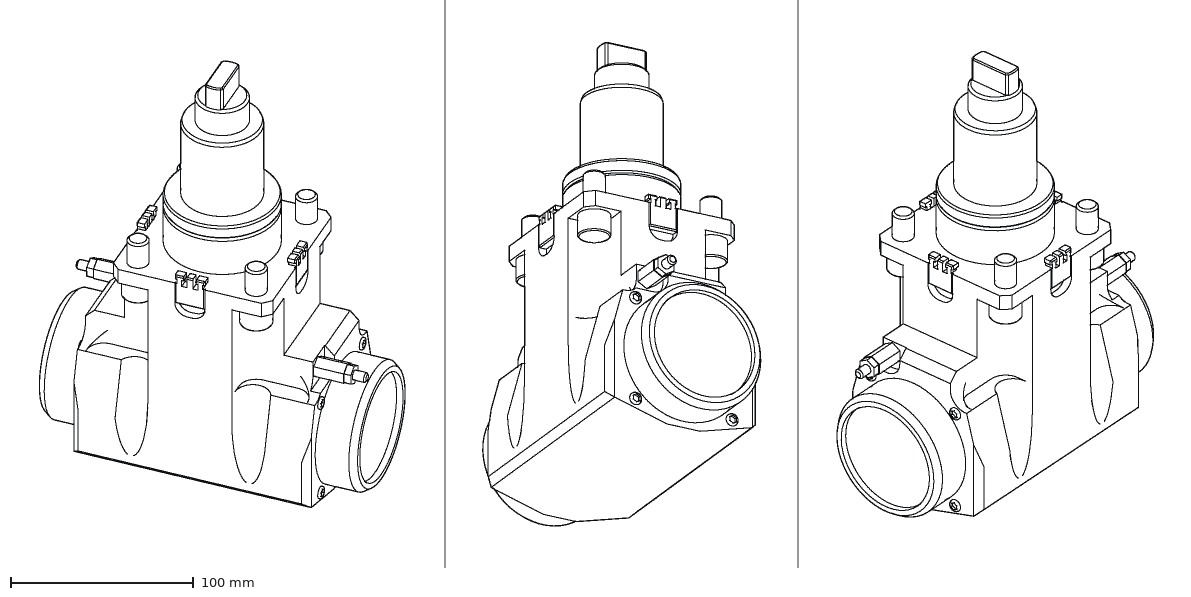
import cadquery as cq
import math

total_height = 253.0
overall_length = 188.0
body_length = 140.2
body_width = 94.0
half_length = body_length / 2
half_width = body_width / 2

port_axis_z = 41.0
keel_half_width = 10.4
keel_bevel = 4.0
bevel_bottom_z = 9.0
end_corner_chamfer = 4.0
shelf_z = 74.5
shelf_edge_y = 38.0
neck_half_width = 26.3
neck_fillet = 10.5
shoulder_z = 94.4
shoulder_chamfer = 5.3
flank_angle = math.degrees(math.atan2(half_width - shelf_edge_y, shelf_z - port_axis_z))

flange_top_z = 141.7
flange_bottom_z = 132.5
flange_corner = 4.8
rib_half_length = 24.8
pocket_fillet = 10.0
pocket_outer_x = 65.3
bolt_x = rib_half_length + pocket_fillet
bolt_y = neck_half_width + pocket_fillet
scallop_axis_y = 42.3

bolt_radius = 6.0
bolt_top_z = 157.5
bolt_head_radius = 9.0
bolt_head_z = 120.0
bolt_edge = 1.3
bolt_head_edge = 0.8

collar_radius = 32.5
collar_top_z = 173.8
collar_edge = 1.5
groove_top_z = 166.5
groove_mid_z = 165.5
groove_bottom_z = 164.0
groove_depth = 1.0
shaft_radius = 22.8
shaft_top_z = 222.6
shaft_edge_height = 2.3
shaft_edge_width = 0.8
tip_radius = 15.0
tip_top_z = 239.0
tip_edge = 1.5
blade_thickness = 10.5
blade_radius = 13.7
blade_corner = 1.0
blade_top_edge = 0.8

port_diameter = 74.6
port_radius = port_diameter / 2
port_end_x = overall_length / 2
port_edge_length = 4.0
port_edge_height = 2.8
port_recess_radius = 31.4
port_recess_depth = 3.8

screw_offset = 30.0
screw_radius = 3.5
screw_height = 1.5
screw_edge = 1.0
socket_size = 4.0

sensor_y = 19.7
sensor_z = 87.3
sensor_seat_x = 64.3
sensor_across_flats = 11.0
sensor_hex_end_x = 82.0
sensor_collar_end_x = 86.0
sensor_collar_across_flats = 10.0
sensor_pin_radius = 2.8
sensor_pin_end_x = 93.5
sensor_pin_edge = 1.0
recess_margin = 10.0
recess_corner = 9.5

clip_width = 17.7
clip_depth = 4.8
clip_bottom_z = 128.0
clip_top_z = 146.7
clip_edge = 0.8
clip_slot_bottom_z = 120.7
clip_slot_corner = 7.5
clip_gap_offset = 2.8
clip_gap_width = 2.0
clip_gap_bottom_z = 140.5
clip_nick_z = 141.7
clip_nick_height = 2.5
clip_nick_depth = 1.3
clip_undercut = 1.0

overlap = 2.5


def upright_block(x0, x1, y0, y1, z0, z1):
    return cq.Workplane("XY").box(x1 - x0, y1 - y0, z1 - z0, centered=False).translate((x0, y0, z0))


def in_four_corners(solid):
    """A solid at +X +Y together with its mirror images in the other three corners."""
    pair = solid.union(solid.mirror("YZ"))
    return pair.union(pair.mirror("XZ"))


def at_both_ends(solid):
    """A solid at the -X end together with its copy half a turn about Z away."""
    return solid.union(solid.rotate((0, 0, 0), (0, 0, 1), 180))


def lower_body():
    arc_mid = neck_fillet * (1 - math.sqrt(0.5))
    half_body = (
        cq.Workplane("YZ", origin=(-half_length, 0, 0))
        .moveTo(0, 0)
        .lineTo(keel_half_width, 0)
        .lineTo(half_width - keel_bevel, bevel_bottom_z)
        .lineTo(half_width, bevel_bottom_z + keel_bevel)
        .lineTo(half_width, port_axis_z)
        .lineTo(shelf_edge_y, shelf_z)
        .lineTo(neck_half_width + neck_fillet, shelf_z)
        .threePointArc(
            (neck_half_width + arc_mid, shelf_z + arc_mid),
            (neck_half_width, shelf_z + neck_fillet),
        )
        .lineTo(neck_half_width, shoulder_z)
        .lineTo(0, shoulder_z)
        .close()
        .extrude(body_length)
    )
    body = half_body.union(half_body.mirror("XZ"))
    body = body.faces(">Z").edges("|Y").chamfer(shoulder_chamfer)
    end_corners = (
        cq.Workplane("XY").rect(body_length, body_width).extrude(shoulder_z)
        .edges("|Z").chamfer(end_corner_chamfer)
    )
    return body.intersect(end_corners)


def column():
    square = (
        cq.Workplane("XY", origin=(0, 0, shelf_z)).rect(body_width, body_width)
        .extrude(flange_top_z - shelf_z)
        .edges("|Z").chamfer(flange_corner)
    )
    web = upright_block(-bolt_x, bolt_x, -half_width, half_width, port_axis_z - overlap, shelf_z)
    return square.union(web)


def corner_pocket():
    """Upright clearance for a flange bolt, rounded against the neck, open to +Y."""
    return (
        upright_block(rib_half_length, pocket_outer_x, neck_half_width, body_width, shelf_z, flange_bottom_z)
        .edges("|Z and <Y").fillet(pocket_fillet)
    )


def scallop():
    """Round-bottomed groove that runs down and out from a pocket, parallel to the slanted flank."""
    reach = body_width
    groove = (
        cq.Workplane("XY")
        .circle(pocket_fillet)
        .extrude(2 * reach, both=True)
        .union(upright_block(-pocket_fillet, pocket_fillet, 0, reach, -2 * reach, 2 * reach))
        .rotate((0, 0, 0), (1, 0, 0), flank_angle)
        .translate((bolt_x, scallop_axis_y, shelf_z))
    )
    return groove.intersect(upright_block(0, half_length, 0, 2 * reach, 0, shelf_z))


def stem():
    profile = [
        (0, shoulder_z),
        (collar_radius, shoulder_z),
        (collar_radius, groove_bottom_z),
        (collar_radius - groove_depth, groove_mid_z),
        (collar_radius, groove_top_z),
        (collar_radius, collar_top_z - collar_edge),
        (collar_radius - collar_edge / 2, collar_top_z),
        (shaft_radius, collar_top_z),
        (shaft_radius, shaft_top_z - shaft_edge_height),
        (shaft_radius - shaft_edge_width, shaft_top_z),
        (tip_radius, shaft_top_z),
        (tip_radius, tip_top_z - tip_edge),
        (tip_radius - tip_edge, tip_top_z),
        (0, tip_top_z),
    ]
    turned = cq.Workplane("XZ").polyline(profile).close().revolve(360, (0, 0, 0), (0, 1, 0))
    blade_base_z = tip_top_z - overlap
    blade_height = total_height - blade_base_z
    blade = (
        cq.Workplane("XY", origin=(0, 0, blade_base_z)).circle(blade_radius).extrude(blade_height)
        .intersect(
            cq.Workplane("XY", origin=(0, 0, blade_base_z))
            .rect(blade_thickness, 2 * blade_radius).extrude(blade_height)
        )
        .edges("|Z").chamfer(blade_corner)
        .faces(">Z").chamfer(blade_top_edge)
    )
    return turned.union(blade)


def flange_bolt():
    head = (
        cq.Workplane("XY", origin=(bolt_x, bolt_y, bolt_head_z)).circle(bolt_head_radius)
        .extrude(flange_bottom_z - bolt_head_z + overlap)
        .faces("<Z").chamfer(bolt_head_edge)
    )
    shank = (
        cq.Workplane("XY", origin=(bolt_x, bolt_y, flange_bottom_z)).circle(bolt_radius)
        .extrude(bolt_top_z - flange_bottom_z)
        .faces(">Z").chamfer(bolt_edge)
    )
    return head.union(shank)


def port():
    profile = [
        (-half_length + overlap, 0),
        (-half_length + overlap, port_radius),
        (-port_end_x + port_edge_length, port_radius),
        (-port_end_x, port_radius - port_edge_height),
        (-port_end_x, port_recess_radius),
        (-port_end_x + port_recess_depth, port_recess_radius),
        (-port_end_x + port_recess_depth, 0),
    ]
    turned = cq.Workplane("XZ").polyline(profile).close().revolve(360, (0, 0, 0), (1, 0, 0))
    return turned.translate((0, 0, port_axis_z))


def port_screw(y, z):
    head = (
        cq.Workplane("YZ", origin=(-half_length, y, z)).circle(screw_radius).extrude(-screw_height)
        .faces("<X").edges().fillet(screw_edge)
    )
    socket = (
        cq.Workplane("YZ", origin=(-half_length, y, z))
        .polygon(6, socket_size, circumscribed=True).extrude(-screw_height)
    )
    return head.cut(socket)


def port_screws():
    offsets = (-screw_offset, screw_offset)
    screws = cq.Workplane("XY")
    for y in offsets:
        for dz in offsets:
            screws = screws.union(port_screw(y, port_axis_z + dz))
    return screws


def sensor_recess():
    """Seat cut into the shoulder, with one rounded corner, open upward and toward +Y."""
    return (
        upright_block(
            -body_length, -sensor_seat_x,
            sensor_y - recess_margin, half_width,
            sensor_z - recess_margin, shoulder_z + overlap,
        )
        .edges("|X and <Y and <Z").fillet(recess_corner)
    )


def sensor():
    def rod_plane(x):
        return cq.Workplane("YZ", origin=(x, sensor_y, sensor_z))

    def hexagon(x, length, across_flats):
        return rod_plane(x).polygon(6, across_flats, circumscribed=True).extrude(-length)

    root_x = -sensor_seat_x + overlap
    collar_length = sensor_collar_end_x - sensor_hex_end_x
    shank = hexagon(root_x, sensor_hex_end_x + root_x, sensor_across_flats)
    collar = hexagon(-sensor_hex_end_x, collar_length, sensor_collar_across_flats)
    pin = (
        rod_plane(-sensor_hex_end_x).circle(sensor_pin_radius)
        .extrude(sensor_hex_end_x - sensor_pin_end_x)
        .faces("<X").chamfer(sensor_pin_edge)
    )
    return shank.union(collar).union(pin)


def clip_slot():
    return (
        upright_block(
            -clip_width / 2, clip_width / 2, -half_width, clip_depth - half_width,
            clip_slot_bottom_z, flange_top_z,
        )
        .edges("|Y and <Z").fillet(clip_slot_corner)
    )


def clip():
    half_clip = clip_width / 2
    inner_y = clip_depth - half_width
    plate = (
        upright_block(-half_clip, half_clip, -half_width, inner_y, clip_bottom_z, clip_top_z)
        .faces("<Y").chamfer(clip_edge)
    )
    for side in (-1, 1):
        gap_x = side * clip_gap_offset
        gap = upright_block(
            gap_x - clip_gap_width / 2, gap_x + clip_gap_width / 2,
            -half_width, inner_y, clip_gap_bottom_z, clip_top_z,
        )
        undercut_x = gap_x + side * clip_undercut
        undercut = upright_block(
            undercut_x - clip_gap_width / 2, undercut_x + clip_gap_width / 2,
            -half_width, inner_y, clip_gap_bottom_z, clip_nick_z + clip_nick_height,
        )
        nick_x = side * half_clip
        nick = upright_block(
            nick_x - clip_nick_depth, nick_x + clip_nick_depth,
            -half_width, inner_y, clip_nick_z, clip_nick_z + clip_nick_height,
        )
        plate = plate.cut(gap).cut(undercut).cut(nick)
    return plate


result = lower_body().union(column())
result = result.cut(in_four_corners(corner_pocket())).cut(in_four_corners(scallop()))
result = result.cut(at_both_ends(sensor_recess()))
result = result.union(stem()).union(in_four_corners(flange_bolt()))
for end_feature in (port(), port_screws(), sensor()):
    result = result.union(at_both_ends(end_feature))
for quarter_turn in range(4):
    angle = 90 * quarter_turn
    result = result.cut(clip_slot().rotate((0, 0, 0), (0, 0, 1), angle))
    result = result.union(clip().rotate((0, 0, 0), (0, 0, 1), angle))